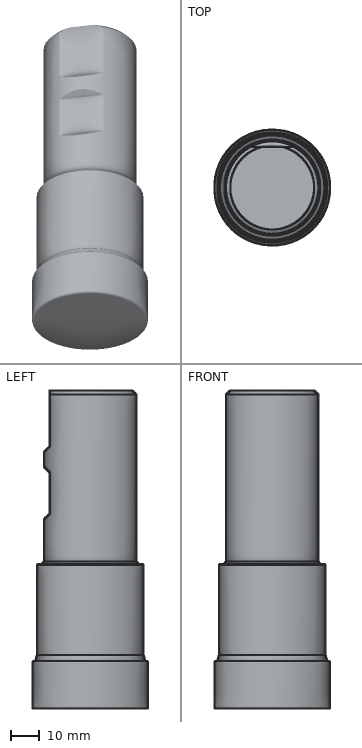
import cadquery as cq

total_height = 110.02
outer_diameter = 40.06

head_height = 18.6
head_radius = outer_diameter / 2
head_edge_round = 0.7
shoulder_height = 16.5
neck_base_radius = 19.0
neck_base_fillet = 0.25

collar_diameter = 36.88
collar_radius = collar_diameter / 2
collar_edge_chamfer = 0.4
shank_diameter = 32.0
shank_radius = shank_diameter / 2
shank_length = 60.0
shank_end_chamfer = 1.5
shank_root_width = 0.6
shank_root_height = 0.9
shank_base = total_height - shank_length

flat_depth = 2.0
flat_offset = shank_radius - flat_depth
end_flat_length = 19.3
pocket_start = 28.4
pocket_length = 14.2


def make_head():
    """Turned cap with rounded outer edges and a tapered neck that meets the collar."""
    turned = (
        cq.Workplane("XZ")
        .lineTo(head_radius, 0)
        .lineTo(head_radius, shoulder_height)
        .lineTo(neck_base_radius, shoulder_height)
        .lineTo(collar_radius, head_height)
        .lineTo(0, head_height)
        .close()
        .revolve(360, (0, 0), (0, 1))
    )
    neck_base = cq.selectors.RadiusNthSelector(1)
    outer_edges = cq.selectors.RadiusNthSelector(2)
    rounded = turned.edges("%CIRCLE").edges(outer_edges).fillet(head_edge_round)
    return rounded.edges("%CIRCLE").edges(neck_base).fillet(neck_base_fillet)


def flat_cutter(lower_z, upper_z, upper_slope):
    """Prism that cuts a flat. Its lower end opens out at 45 degrees, its upper end
    by upper_slope: 1 for 45 degrees, 0 for straight."""
    reach = 2 * flat_depth
    return (
        cq.Workplane("YZ")
        .moveTo(flat_offset, lower_z)
        .lineTo(flat_offset, upper_z)
        .lineTo(flat_offset + reach, upper_z + reach * upper_slope)
        .lineTo(flat_offset + reach, lower_z - reach)
        .close()
        .extrude(shank_radius, both=True)
    )


def make_holder():
    """Collar and shank turned in one piece, then cut by the clamping flats."""
    turned = (
        cq.Workplane("XZ")
        .moveTo(0, head_height)
        .lineTo(collar_radius, head_height)
        .lineTo(collar_radius, shank_base - collar_edge_chamfer)
        .lineTo(collar_radius - collar_edge_chamfer, shank_base)
        .lineTo(shank_radius + shank_root_width, shank_base)
        .lineTo(shank_radius, shank_base + shank_root_height)
        .lineTo(shank_radius, total_height - shank_end_chamfer)
        .lineTo(shank_radius - shank_end_chamfer, total_height)
        .lineTo(0, total_height)
        .close()
        .revolve(360, (0, 0), (0, 1))
    )
    end_flat = flat_cutter(total_height - end_flat_length, total_height, 0)
    pocket_top = total_height - pocket_start
    pocket = flat_cutter(pocket_top - pocket_length, pocket_top, 1)
    return turned.cut(end_flat).cut(pocket)


head = make_head()
holder = make_holder()

result = cq.Compound.makeCompound([head.val(), holder.val()])